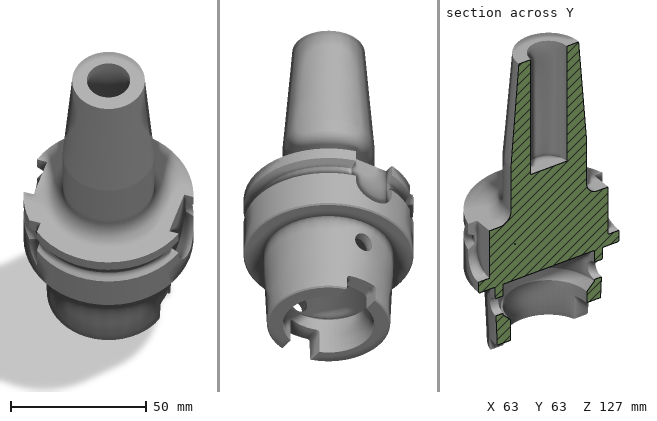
import cadquery as cq

total_height = 127.0
flange_bottom = 32.0
flange_top = 58.0
cone_start = 82.5

shank_bottom_radius = 22.9
shank_top_radius = 24.3
flange_radius = 31.5
groove_radius = 28.7
neck_radius = 17.0
nose_radius = 13.5
neck_fillet = 5.0
edge_chamfer = 0.5

groove_lower_lip = 46.6
groove_floor_bottom = 48.4
groove_floor_top = 51.8
groove_upper_lip = 53.6

mouth_radius = 17.0
mouth_depth = 15.2
cavity_radius = 20.3
cavity_depth = flange_bottom

bore_radius = 8.0
bore_depth = 50.8
cross_hole_diameter = 7.5
cross_hole_height = 23.1

slot_bottom = 37.1
slot_floor = 26.5
left_slot_width = 16.0
right_slot_width = 18.0
corner_slot_floor = 20.0
corner_slot_edge = 20.1

keyway_width = 12.7
keyway_height = 6.0
deep_keyway_height = 10.2
keyway_corner = 1.0


def turned_body():
    profile = (
        cq.Workplane("XZ")
        .lineTo(shank_bottom_radius - edge_chamfer, 0)
        .lineTo(shank_bottom_radius, edge_chamfer)
        .lineTo(shank_top_radius, flange_bottom)
        .lineTo(flange_radius - edge_chamfer, flange_bottom)
        .lineTo(flange_radius, flange_bottom + edge_chamfer)
        .lineTo(flange_radius, groove_lower_lip)
        .lineTo(groove_radius, groove_floor_bottom)
        .lineTo(groove_radius, groove_floor_top)
        .lineTo(flange_radius, groove_upper_lip)
        .lineTo(flange_radius, flange_top)
        .lineTo(neck_radius + neck_fillet, flange_top)
        .radiusArc((neck_radius, flange_top + neck_fillet), neck_fillet)
        .lineTo(neck_radius, cone_start)
        .lineTo(nose_radius, total_height)
        .lineTo(0, total_height)
        .close()
    )
    return profile.revolve(360, (0, 0, 0), (0, 1, 0))


def tool_bore():
    return cq.Workplane("XY", origin=(0, 0, total_height)).circle(bore_radius).extrude(-bore_depth)


def shank_cavity():
    """Round cavity with a narrower mouth, joined by a 45 degree clamping shoulder."""
    shoulder_height = cavity_radius - mouth_radius
    profile = (
        cq.Workplane("XZ")
        .lineTo(mouth_radius, 0)
        .lineTo(mouth_radius, mouth_depth)
        .lineTo(cavity_radius, mouth_depth + shoulder_height)
        .lineTo(cavity_radius, cavity_depth)
        .lineTo(0, cavity_depth)
        .close()
    )
    return profile.revolve(360, (0, 0, 0), (0, 1, 0))


def flange_slot(width, floor, center_y, side):
    """Slot open at the flange top and round at the bottom; side is +1 for +X and -1 for -X."""
    radius = width / 2
    arc_height = slot_bottom + radius
    return (
        cq.Workplane("YZ", origin=(side * floor, center_y, 0))
        .moveTo(-radius, flange_top)
        .lineTo(-radius, arc_height)
        .threePointArc((0, slot_bottom), (radius, arc_height))
        .lineTo(radius, flange_top)
        .close()
        .extrude(side * flange_radius)
    )


def keyway(height, start_x, length):
    """Keyway along X with rounded upper corners, open at the shank end."""
    return (
        cq.Workplane("XY", origin=(start_x, 0, 0))
        .box(length, keyway_width, height, centered=(False, True, False))
        .edges("|X and >Z")
        .fillet(keyway_corner)
    )


def cross_hole():
    return (
        cq.Workplane("YZ", origin=(0, 0, cross_hole_height))
        .circle(cross_hole_diameter / 2)
        .extrude(flange_radius, both=True)
    )


corner_slot_center = -(corner_slot_edge + left_slot_width / 2)

result = (
    turned_body()
    .cut(tool_bore())
    .cut(shank_cavity())
    .cut(flange_slot(left_slot_width, slot_floor, 0, -1))
    .cut(flange_slot(right_slot_width, slot_floor, 0, 1))
    .cut(flange_slot(left_slot_width, corner_slot_floor, corner_slot_center, -1))
    .cut(keyway(keyway_height, -flange_radius, flange_radius))
    .cut(keyway(deep_keyway_height, 0, flange_radius))
    .cut(cross_hole())
)